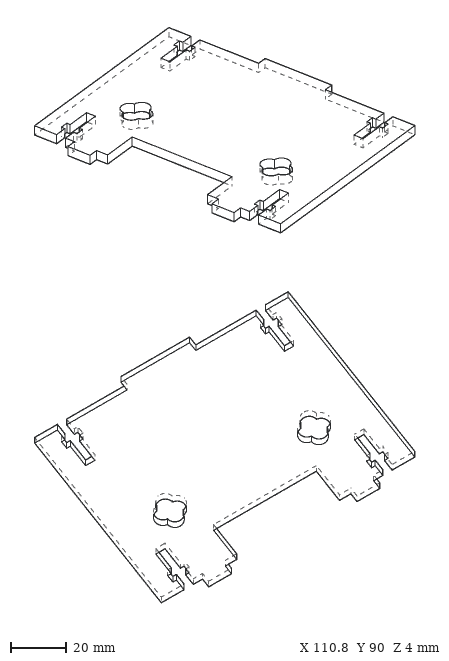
import cadquery as cq

plate_length = 110.8
thickness = 4.0
tab_height = thickness
overall_width = 90.0
body_width = overall_width - 2 * tab_height
half_length = plate_length / 2
half_width = body_width / 2

rear_tab_length = 30.0
notch_length = 44.9
notch_depth = 15.0
foot_length = 10.0
foot_gap = 5.0
foot_x = notch_length / 2 + foot_gap + foot_length / 2

slot_width = thickness
slot_length = 18.3
slot_inset = 10.0
slot_x = half_length - slot_inset - slot_width / 2
nut_width = 7.1
nut_thickness = 3.3
nut_inset = 5.0

opening_x = 31.5
opening_y = 29.8 - half_width
opening_span = 13.1
lobe_radius = 3.4
lobe_offset = opening_span / 2 - lobe_radius


def block(length, width, x, y_min):
    """Full-thickness block centred on x, reaching from y_min towards +Y."""
    solid = cq.Workplane("XY").box(length, width, thickness, centered=(True, False, False))
    return solid.translate((x, y_min, 0))


def t_slot(x):
    """Screw slot open at the front edge, crossed by a nut pocket."""
    screw_slot = block(slot_width, slot_length, x, -half_width)
    nut_pocket = block(nut_width, nut_thickness, x, nut_inset - half_width)
    return screw_slot.union(nut_pocket)


def lobed_opening(x, y):
    """Four overlapping cylinders around a square core."""
    lobe_centers = [(lobe_offset, 0), (-lobe_offset, 0), (0, lobe_offset), (0, -lobe_offset)]
    opening = block(2 * lobe_offset, 2 * lobe_offset, 0, -lobe_offset)
    for center in lobe_centers:
        lobe = cq.Workplane("XY").center(*center).circle(lobe_radius).extrude(thickness)
        opening = opening.union(lobe)
    return opening.translate((x, y, 0))


result = block(plate_length, body_width, 0, -half_width)
result = result.union(block(rear_tab_length, tab_height, 0, half_width))
result = result.cut(block(notch_length, notch_depth, 0, -half_width))

for side in (-1, 1):
    result = result.union(block(foot_length, tab_height, side * foot_x, -half_width - tab_height))
    front_slot = t_slot(side * slot_x)
    result = result.cut(front_slot)
    result = result.cut(front_slot.mirror("XZ"))
    result = result.cut(lobed_opening(side * opening_x, opening_y))